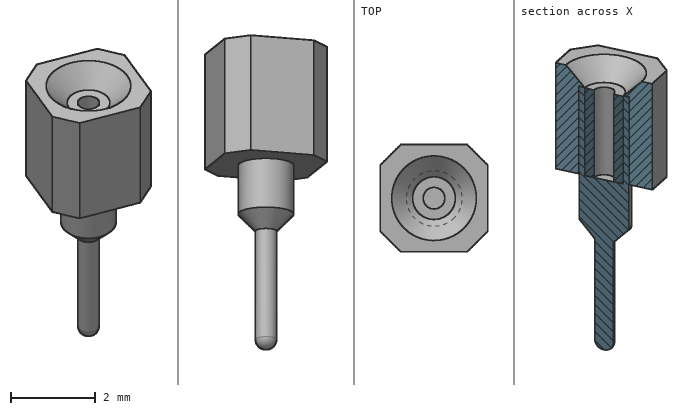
import cadquery as cq

total_height = 7.3

housing_width = 2.54
housing_height = 2.8
corner_chamfer = 0.49
funnel_top_radius = 1.0
funnel_depth = 0.5

sleeve_radius = 0.66
sleeve_exposed_length = 1.19
taper_height = 0.415
pin_radius = 0.255

clip_radius = funnel_top_radius - funnel_depth
clip_bore_radius = 0.255

housing_bottom = total_height - housing_height
funnel_floor = total_height - funnel_depth
taper_top = housing_bottom - sleeve_exposed_length
taper_bottom = taper_top - taper_height
clip_bottom = housing_bottom
clip_length = funnel_floor - clip_bottom


def cylinder(radius, bottom, height):
    """Upright cylinder on the Z axis."""
    return cq.Workplane("XY").workplane(offset=bottom).circle(radius).extrude(height)


def make_housing():
    """Square block with chamfered corners, an entry funnel and a bore for the sleeve."""
    block = (
        cq.Workplane("XY")
        .workplane(offset=housing_bottom)
        .rect(housing_width, housing_width)
        .extrude(housing_height)
        .edges("|Z")
        .chamfer(corner_chamfer)
    )
    funnel = (
        cq.Workplane("XZ")
        .moveTo(0, funnel_floor)
        .lineTo(clip_radius, funnel_floor)
        .lineTo(funnel_top_radius, total_height)
        .lineTo(0, total_height)
        .close()
        .revolve(360, (0, 0), (0, 1))
    )
    sleeve_bore = cylinder(sleeve_radius, housing_bottom, funnel_floor - housing_bottom)
    return block.cut(funnel).cut(sleeve_bore)


def make_sleeve():
    """Turned sleeve tapering to a round-ended pin, with a blind bore for the clip."""
    dome_offset = pin_radius * 0.5 ** 0.5
    body = (
        cq.Workplane("XZ")
        .moveTo(0, 0)
        .threePointArc((dome_offset, pin_radius - dome_offset), (pin_radius, pin_radius))
        .lineTo(pin_radius, taper_bottom)
        .lineTo(sleeve_radius, taper_top)
        .lineTo(sleeve_radius, funnel_floor)
        .lineTo(0, funnel_floor)
        .close()
        .revolve(360, (0, 0), (0, 1))
    )
    return body.cut(cylinder(clip_radius, clip_bottom, clip_length))


def make_clip():
    """Tubular contact clip filling the sleeve bore up to the funnel floor."""
    outside = cylinder(clip_radius, clip_bottom, clip_length)
    return outside.cut(cylinder(clip_bore_radius, clip_bottom, clip_length))


housing = make_housing()
sleeve = make_sleeve()
clip = make_clip()

result = cq.Compound.makeCompound([housing.val(), sleeve.val(), clip.val()])